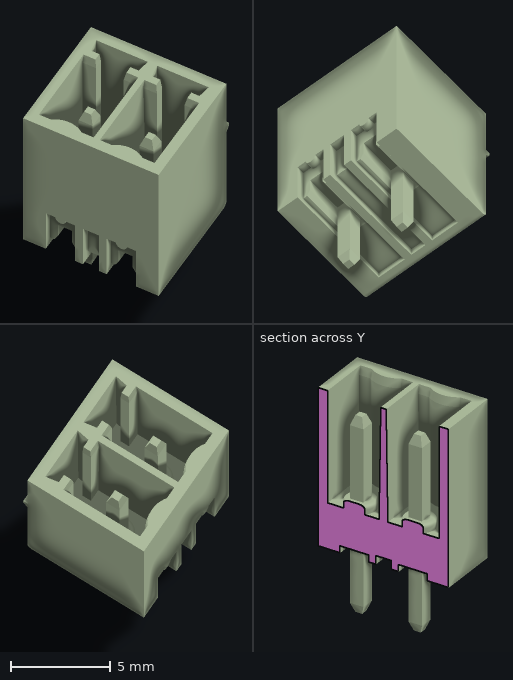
import cadquery as cq
import math


body_width = 7.8
body_depth = 6.99
body_height = 9.2
heel_radius = 0.3
ledge_reach = 0.25
ledge_top_z = 6.0
ledge_edge_height = 0.24

pin_pitch = 3.5
pin_y = 3.0
pin_side = 0.81
pin_tip_side = 0.4
pin_taper_length = 0.55
pin_top_z = 8.0
pin_length_below = 3.4

floor_z = 2.7
cavity_half_width = 1.58
cavity_front_y = 0.7
neck_front_y = 5.1
neck_back_y = 5.62
cavity_back_y = 6.35
dovetail_front_half = 1.36
dovetail_back_half = 1.49
neck_half_width = 0.8
bump_radius = 1.6
bump_centre_y = -0.6
divider_draft = 0.1
back_wall_draft = 0.04
lead_in_width = 0.1
lead_in_height = 0.5

collar_diameter = 1.8
collar_height = 0.5
collar_round = 0.24

pocket_width = 1.69
pocket_depth = 0.45
pocket_top_z = 2.7
middle_pocket_width = 0.92
middle_pocket_depth = 0.5
relief_back_y = cavity_back_y
pin_relief_top_z = 0.4
middle_relief_top_z = 0.5
lug_radius = 0.3
channel_top_z = 1.6
flare_width = 0.2
flare_height = 0.35

pin_x = pin_pitch / 2
pin_positions = [-pin_x, pin_x]
channel_back_y = pin_y + pin_side / 2


def box(x_min, x_max, y_min, y_max, z_min, z_max):
    """Axis-aligned block between the given limits."""
    size = (x_max - x_min, y_max - y_min, z_max - z_min)
    return cq.Workplane("XY").box(*size, centered=False).translate((x_min, y_min, z_min))


def body_block():
    """Outer block with a rounded lower rear edge and a rear ledge, 45 degrees below."""
    block = box(-body_width / 2, body_width / 2, 0, body_depth, 0, body_height)
    block = block.edges(">Y and <Z").fillet(heel_radius)
    ledge_back_y = body_depth + ledge_reach
    ledge_root_y = body_depth - ledge_reach
    ledge_low_z = ledge_top_z - ledge_edge_height
    ledge_root_z = ledge_low_z - (ledge_back_y - ledge_root_y)
    ledge = (
        cq.Workplane("YZ")
        .moveTo(ledge_root_y, ledge_top_z)
        .lineTo(ledge_back_y, ledge_top_z)
        .lineTo(ledge_back_y, ledge_low_z)
        .lineTo(ledge_root_y, ledge_root_z)
        .close()
        .extrude(body_width / 2, both=True)
    )
    return block.union(ledge)


def cavity_outline(plane, z, lead_in):
    """Keyed outline about the left pin; the divider wall is on the +X side.

    The divider and rear walls lean inwards towards the floor. The lead-in
    opens the front wall, its bump and the two key tabs.
    """
    drop = (body_height - z) / (body_height - floor_z)
    divider_x = cavity_half_width - divider_draft * drop
    back_y = cavity_back_y - back_wall_draft * drop
    front_y = cavity_front_y - lead_in
    tab_front_y = neck_front_y + lead_in
    tab_x = neck_half_width + lead_in
    radius = bump_radius - lead_in
    bump_half = math.sqrt(radius**2 - (front_y - bump_centre_y) ** 2)
    return (
        plane.moveTo(-cavity_half_width, front_y)
        .lineTo(-bump_half, front_y)
        .threePointArc((0, bump_centre_y + radius), (bump_half, front_y))
        .lineTo(divider_x, front_y)
        .lineTo(divider_x, tab_front_y)
        .lineTo(tab_x, tab_front_y)
        .lineTo(tab_x, neck_back_y)
        .lineTo(dovetail_front_half, neck_back_y)
        .lineTo(dovetail_back_half, back_y)
        .lineTo(-dovetail_back_half, back_y)
        .lineTo(-dovetail_front_half, neck_back_y)
        .lineTo(-tab_x, neck_back_y)
        .lineTo(-tab_x, tab_front_y)
        .lineTo(-cavity_half_width, tab_front_y)
        .close()
    )


def cavity_stage(low_z, high_z, top_lead_in):
    """Length of cavity between two levels, opening by the lead-in at its top."""
    plane = cq.Workplane("XY", origin=(0, 0, low_z))
    plane = cavity_outline(plane, low_z, 0).workplane(offset=high_z - low_z)
    return cavity_outline(plane, high_z, top_lead_in).loft(ruled=True)


def left_cavity():
    """Drafted cavity of the left pole with its lead-in at the mouth."""
    mouth_z = body_height - lead_in_height
    shaft = cavity_stage(floor_z, mouth_z, 0)
    mouth = cavity_stage(mouth_z, body_height, lead_in_width)
    return shaft.union(mouth).translate((-pin_x, 0, 0))


def pin_relief(x):
    """Front pocket, floor relief and flared pin channel of one pole."""
    half = pocket_width / 2
    pocket = box(x - half, x + half, 0, pocket_depth, 0, pocket_top_z)
    lug = (
        cq.Workplane("XZ", origin=(x, 0, 0))
        .center(0, pocket_top_z)
        .circle(lug_radius)
        .extrude(-pocket_depth)
    )
    relief = box(x - half, x + half, 0, relief_back_y, 0, pin_relief_top_z)
    channel_half = pin_side / 2
    channel = box(x - channel_half, x + channel_half, 0, channel_back_y, 0, channel_top_z)
    flare = (
        cq.Workplane("XY", origin=(x, 0, pin_relief_top_z))
        .moveTo(-channel_half - flare_width, 0)
        .lineTo(channel_half + flare_width, 0)
        .lineTo(channel_half + flare_width, channel_back_y + flare_width)
        .lineTo(-channel_half - flare_width, channel_back_y + flare_width)
        .close()
        .workplane(offset=flare_height)
        .moveTo(-channel_half, 0)
        .lineTo(channel_half, 0)
        .lineTo(channel_half, channel_back_y)
        .lineTo(-channel_half, channel_back_y)
        .close()
        .loft(ruled=True)
    )
    return pocket.cut(lug).union(relief).union(channel).union(flare)


def middle_relief():
    """Front pocket and floor relief between the two poles."""
    half = middle_pocket_width / 2
    pocket = box(-half, half, 0, middle_pocket_depth, 0, pocket_top_z)
    return pocket.union(box(-half, half, 0, relief_back_y, 0, middle_relief_top_z))


def collar(x):
    """Round-shouldered collar standing on the cavity floor."""
    disc = cq.Workplane("XY", origin=(x, pin_y, floor_z)).circle(collar_diameter / 2)
    return disc.extrude(collar_height).faces(">Z").edges().fillet(collar_round)


def pin_taper(x, base_z, length):
    """Pyramid end of a pin; a negative length points down."""
    return (
        cq.Workplane("XY", origin=(x, pin_y, base_z))
        .rect(pin_side, pin_side)
        .workplane(offset=length)
        .rect(pin_tip_side, pin_tip_side)
        .loft(ruled=True)
    )


def pin(x):
    """Square pin, tapered at both ends."""
    low_z = pin_taper_length - pin_length_below
    high_z = pin_top_z - pin_taper_length
    half = pin_side / 2
    shank = box(x - half, x + half, pin_y - half, pin_y + half, low_z, high_z)
    upper_end = pin_taper(x, high_z, pin_taper_length)
    lower_end = pin_taper(x, low_z, -pin_taper_length)
    return shank.union(upper_end).union(lower_end)


cavity = left_cavity()
header = body_block().cut(cavity).cut(cavity.mirror("YZ")).cut(middle_relief())
for x in pin_positions:
    header = header.cut(pin_relief(x)).union(collar(x)).union(pin(x))

result = header